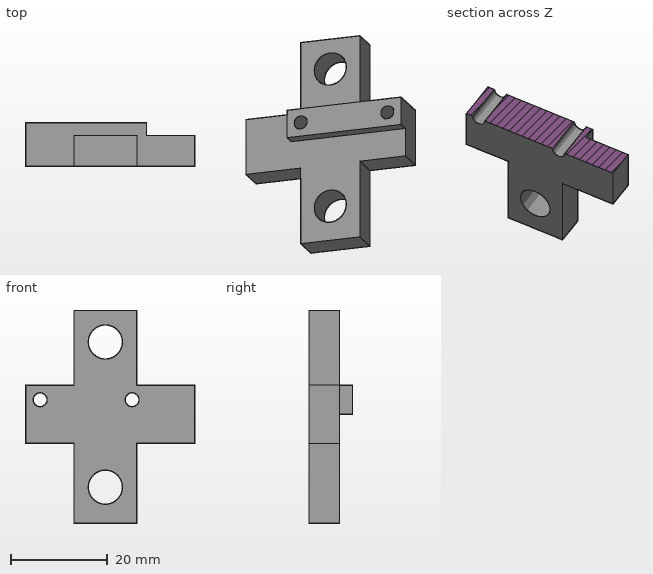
import cadquery as cq

total_width = 35.0
total_height = 44.0
total_depth = 9.05
plate_thickness = 6.4

upright_left = 10.0
upright_width = 13.0
arm_bottom = 16.55
arm_height = 12.0
arm_top = arm_bottom + arm_height

block_width = 25.0
block_height = arm_height / 2

large_hole_diameter = 7.0
large_hole_spacing = 30.0
large_hole_top_offset = 6.5
small_hole_diameter = 2.8
small_hole_spacing = 19.0
small_hole_edge_offset = 3.0


def box(x, z, width, height, depth):
    """Box with its lower left front corner at (x, 0, z)."""
    return cq.Workplane("XY").box(width, depth, height, centered=False).translate((x, 0, z))


def through_holes(centers, diameter):
    """Cylinders along Y, through the full depth, at the given (x, z) centers."""
    return cq.Workplane("XZ").pushPoints(centers).circle(diameter / 2).extrude(-total_depth)


upright = box(upright_left, 0, upright_width, total_height, plate_thickness)
arm = box(0, arm_bottom, total_width, arm_height, plate_thickness)
block = box(0, arm_top - block_height, block_width, block_height, total_depth)
body = upright.union(arm).union(block)

upright_center = upright_left + upright_width / 2
upper_hole_z = total_height - large_hole_top_offset
large_holes = through_holes(
    [(upright_center, upper_hole_z), (upright_center, upper_hole_z - large_hole_spacing)],
    large_hole_diameter,
)

small_hole_z = arm_top - block_height / 2
small_holes = through_holes(
    [
        (small_hole_edge_offset, small_hole_z),
        (small_hole_edge_offset + small_hole_spacing, small_hole_z),
    ],
    small_hole_diameter,
)

result = body.cut(large_holes).cut(small_holes)